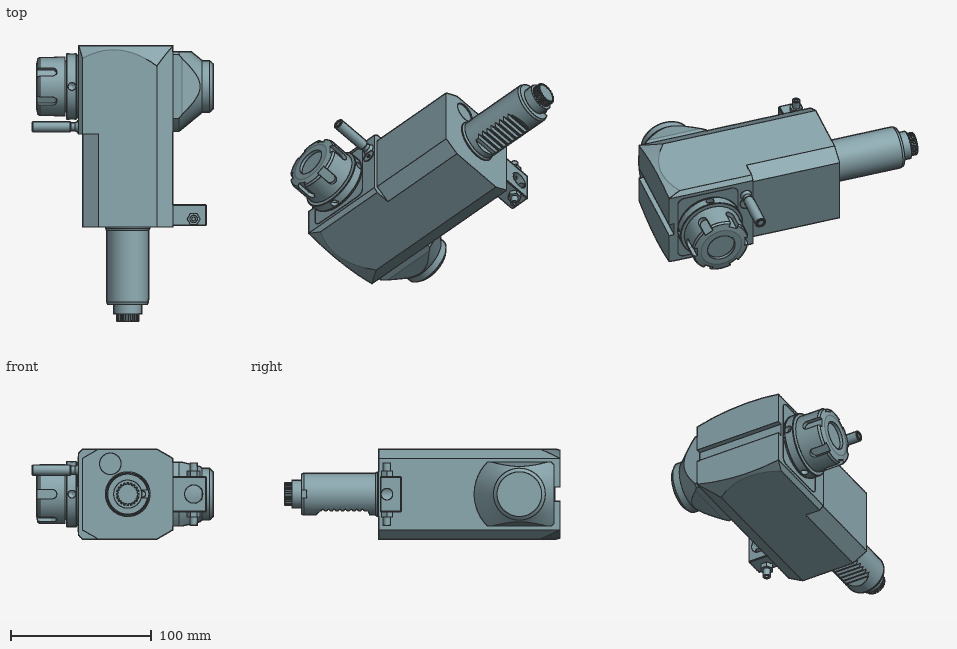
import cadquery as cq
import math


CUT_CLEARANCE = 2.0

HALF = 64.0 / 2
LENGTH = 129.0
EDGE_WIDTH = 11.4
EDGE_HEIGHT = EDGE_WIDTH * math.tan(math.radians(30))
PAD_START = 66.0
PAD_RISE = 3.0
PAD_FACE = -HALF - PAD_RISE
SPINDLE_Y = 100.0
KEYWAY_WIDTH = 10.0
KEYWAY_DEPTH = 3.7

CROWN_ANGLE = 15.0
CROWN_RADIUS = 158.8
CROWN_X = -10.0
CROWN_TOP = HALF - 0.8

COVER_X = -12.3
COVER_Z = 21.5
COVER_RADIUS = 7.6
COVER_DEPTH = 1.0

COLLAR_RADIUS = 15.9
COLLAR_LENGTH = 0.8
COLLAR_TAPER_END = 2.4
SHANK_RADIUS = 30.0 / 2
SHANK_END = 54.9
SHANK_CHAMFER_LENGTH = 1.8
SHANK_CHAMFER_DROP = 0.8
NECK_RADIUS = 10.0
NECK_END = 61.5
SPLINE_TIP_RADIUS = 16.3 / 2
SPLINE_ROOT_RADIUS = 6.9
SPLINE_TEETH = 20
SPLINE_TOOTH_WIDTH = 1.2
SPLINE_CHAMFER = 0.5
OVERALL_LENGTH = 196.0
SHANK_TIP = OVERALL_LENGTH - LENGTH

FLAT_DEPTH = 12.2
FLAT_START = 7.5
FLAT_END = 42.0
FLAT_START_FLARE = 1.2
FLAT_END_FLARE = 3.0
GROOVE_FIRST = 11.5
GROOVE_COUNT = 8
GROOVE_SPAN = 28.0
GROOVE_PITCH = GROOVE_SPAN / (GROOVE_COUNT - 1)
GROOVE_HALF_WIDTH = 1.5
GROOVE_HEIGHT = 1.5

NOTCH_WIDTH = 5.7
NOTCH_LENGTH = 3.7
NOTCH_HOLE_X = 10.5
NOTCH_HOLE_RADIUS = 2.2
NOTCH_HOLE_DEPTH = 3.0

PLATE_Y = 45.0
PLATE_Z = 53.0
PLATE_CORNER = 4.9
PLATE_RISE = 0.2
RING_RADIUS = 23.3
RING_BACK = -36.5
RING_FRONT = -43.5
RING_CHAMFER = 0.4
RING_NECK_RADIUS = 22.3
RING_HOLE_X = -39.5
RING_HOLE_RADIUS = 2.7
RING_HOLE_DEPTH = 4.0
RING_HOLE_POINT = 1.5
RING_HOLE_COUNT = 4
GROOVE_CORE_RADIUS = 18.0
NUT_RADIUS = 21.0
NUT_BACK = -44.5
NUT_RIM = -62.1
NUT_SHOULDER = -63.9
NUT_SHOULDER_RADIUS = 20.2
NUT_FACE = -64.9
NUT_FACE_RADIUS = 15.0
NUT_BORE_RADIUS = 10.4
NUT_BORE_DEPTH = 2.4
SLOT_COUNT = 6
SLOT_WIDTH = 6.7
SLOT_FLOOR = 17.8
SLOT_END = -50.4

PIPE_Y = 71.3
PIPE_Z = 17.0
PIPE_RADIUS = 3.7
PIPE_FRONT = -67.8
PIPE_BACK = -40.4
PIPE_CHAMFER = 0.5
PIPE_NECK_RADIUS = 3.0
PIPE_NECK_END = -37.5
PIPE_FLARE_RADIUS = 4.1
PIPE_BORE_RADIUS = 2.4
PIPE_BORE_DEPTH = 0.5
PLUG_Z = 9.8
PLUG_RADIUS = 4.5
PLUG_RISE = 0.5
PLUG_HOLE_RADIUS = 1.2
PLUG_HOLE_DEPTH = 0.5

CAP_RADIUS = 32.1
CAP_CONE_START = 36.3
CAP_CONE_END = 53.0
CAP_NOSE_RADIUS = 18.5
CAP_NOSE_CHAMFER = 2.5
CAP_END = 60.8
CAP_SIDE_FLAT = 24.7
CAP_HEIGHT_FLAT = 22.7
CAP_BEND = 38.6
CAP_TILT = 13.5

BLOCK_END = 55.9
BLOCK_START_Y = 1.2
BLOCK_END_Y = 16.0
BLOCK_HALF_HEIGHT = 12.5
BLOCK_CHAMFER = 0.5
BLOCK_BORE_X = 46.8
BLOCK_BORE_RADIUS = 6.5
BLOCK_OUTLET_RADIUS = 4.1
BLOCK_PASSAGE_RADIUS = 1.8
BLOCK_PASSAGE_DEPTH = 1.5
NIPPLE_Y = 5.9
NIPPLE_RADIUS = 5.3 / 2
NIPPLE_TOP = 22.1
NIPPLE_SOCKET_RADIUS = 1.4
NIPPLE_SOCKET_DEPTH = 2.0
NIPPLE_HEX_ACROSS = 9.2
NIPPLE_HEX_TOP = 16.3


def cylinder(radius, start, length, direction):
    """Cylinder running from a start point along a unit direction for a given length."""
    return cq.Workplane(cq.Solid.makeCylinder(radius, length, cq.Vector(*start), cq.Vector(*direction)))


def turned_along_x(profile, y, z):
    """Solid of revolution from (x, radius) points about an axis parallel to X."""
    axis_start = (profile[0][0], 0)
    axis_end = (profile[-1][0], 0)
    outline = cq.Workplane("XY").polyline([axis_start] + profile + [axis_end]).close()
    return outline.revolve(360, (0, 0, 0), (1, 0, 0)).translate((0, y, z))


def prism_along_y(points, start, end):
    """Straight prism with an (x, z) outline between two Y positions."""
    return cq.Workplane("XZ", origin=(0, start, 0)).polyline(points).close().extrude(start - end)


def mirrored(points):
    """Close an upper outline with its reflection below Z = 0."""
    return points + [(x, -z) for x, z in reversed(points)]


def crown_cutter():
    """Block with an arched underside, tilted so that the end of the housing slopes down to the arch."""
    angle = math.radians(CROWN_ANGLE)
    lead = 9.8
    span = 78.4
    sag = CROWN_RADIUS - math.sqrt(CROWN_RADIUS ** 2 - span ** 2)
    block_top = 15.7
    direction = cq.Vector(0, -math.cos(angle), math.sin(angle))
    peak = cq.Vector(CROWN_X, LENGTH, CROWN_TOP)
    plane = cq.Plane(origin=peak - direction * lead, xDir=(1, 0, 0), normal=direction)
    return (
        cq.Workplane(plane)
        .moveTo(-span, -sag)
        .threePointArc((0, 0), (span, -sag))
        .lineTo(span, block_top)
        .lineTo(-span, block_top)
        .close()
        .extrude(LENGTH / 2)
    )


def make_housing():
    side = HALF - EDGE_HEIGHT
    inner = HALF - EDGE_WIDTH
    rear_body = prism_along_y(
        mirrored([(-HALF, side), (-inner, HALF), (inner, HALF), (HALF, side)]), 0, LENGTH
    )
    pad_body = prism_along_y(
        mirrored([(PAD_FACE, HALF - PAD_RISE), (-HALF, HALF), (inner, HALF), (HALF, side)]),
        PAD_START, LENGTH,
    )
    cutter = crown_cutter()
    keyway = cq.Workplane("XY").box(4 * HALF, 2 * KEYWAY_DEPTH, KEYWAY_WIDTH).translate((0, LENGTH, 0))
    cover = cylinder(COVER_RADIUS, (COVER_X, 0, COVER_Z), COVER_DEPTH, (0, 1, 0))
    housing = rear_body.union(pad_body)
    return housing.cut(cutter).cut(cutter.mirror("XY")).cut(keyway).cut(cover)


def make_serration():
    """Material removed below the shank: a flat with V grooves across it."""
    below = SHANK_RADIUS + CUT_CLEARANCE
    rise = below - FLAT_DEPTH
    flare_scale = rise / (SHANK_RADIUS - FLAT_DEPTH)
    points = [(-FLAT_START + FLAT_START_FLARE * flare_scale, -below), (-FLAT_START, -FLAT_DEPTH)]
    for index in range(GROOVE_COUNT):
        valley = GROOVE_FIRST + index * GROOVE_PITCH
        points.append((-valley + GROOVE_HALF_WIDTH, -FLAT_DEPTH))
        points.append((-valley, GROOVE_HEIGHT - FLAT_DEPTH))
        points.append((-valley - GROOVE_HALF_WIDTH, -FLAT_DEPTH))
    points += [(-FLAT_END, -FLAT_DEPTH), (-FLAT_END - FLAT_END_FLARE * flare_scale, -below)]
    return cq.Workplane("YZ").polyline(points).close().extrude(2 * SHANK_RADIUS, both=True)


def make_spline():
    """Toothed shaft end: a root cylinder with straight teeth, chamfered at the tip."""
    length = SHANK_TIP - NECK_END
    blank = cylinder(SPLINE_TIP_RADIUS, (0, -NECK_END, 0), length, (0, -1, 0))
    blank = blank.faces("<Y").chamfer(SPLINE_CHAMFER)
    teeth = cylinder(SPLINE_ROOT_RADIUS, (0, -NECK_END, 0), length, (0, -1, 0))
    bar = cq.Workplane("XY").box(2 * SPLINE_TIP_RADIUS, length, SPLINE_TOOTH_WIDTH)
    bar = bar.translate((0, -NECK_END - length / 2, 0))
    for index in range(SPLINE_TEETH // 2):
        teeth = teeth.union(bar.rotate((0, 0, 0), (0, 1, 0), index * 360 / SPLINE_TEETH))
    return teeth.intersect(blank)


def make_shank():
    end_radius = SHANK_RADIUS - SHANK_CHAMFER_DROP
    profile = [
        (0, 0),
        (COLLAR_RADIUS, 0),
        (COLLAR_RADIUS, -COLLAR_LENGTH),
        (SHANK_RADIUS, -COLLAR_TAPER_END),
        (SHANK_RADIUS, -SHANK_END + SHANK_CHAMFER_LENGTH),
        (end_radius, -SHANK_END),
        (NECK_RADIUS, -SHANK_END),
        (NECK_RADIUS, -NECK_END),
        (0, -NECK_END),
    ]
    shank = cq.Workplane("XY").polyline(profile).close().revolve(360, (0, 0, 0), (0, 1, 0))
    notch = cq.Workplane("XY").box(
        SHANK_RADIUS, NOTCH_LENGTH, NOTCH_WIDTH, centered=(False, False, True)
    ).translate((NECK_RADIUS, -SHANK_END, 0))
    notch_floor = NOTCH_LENGTH - SHANK_END
    notch_hole = cylinder(
        NOTCH_HOLE_RADIUS, (NOTCH_HOLE_X, notch_floor, 0), NOTCH_HOLE_DEPTH, (0, 1, 0)
    )
    return shank.cut(make_serration()).cut(notch).cut(notch_hole).union(make_spline())


def make_spindle():
    plate = (
        cq.Workplane("YZ", origin=(PAD_FACE, SPINDLE_Y, 0))
        .rect(PLATE_Y, PLATE_Z)
        .extrude(-PLATE_RISE)
        .edges("|X")
        .fillet(PLATE_CORNER)
    )
    profile = [
        (PAD_FACE, RING_NECK_RADIUS),
        (RING_BACK, RING_NECK_RADIUS),
        (RING_BACK, RING_RADIUS - RING_CHAMFER),
        (RING_BACK - RING_CHAMFER, RING_RADIUS),
        (RING_FRONT + RING_CHAMFER, RING_RADIUS),
        (RING_FRONT, RING_RADIUS - RING_CHAMFER),
        (RING_FRONT, GROOVE_CORE_RADIUS),
        (NUT_BACK, GROOVE_CORE_RADIUS),
        (NUT_BACK, NUT_RADIUS),
        (NUT_RIM, NUT_RADIUS),
        (NUT_SHOULDER, NUT_SHOULDER_RADIUS),
        (NUT_FACE, NUT_FACE_RADIUS),
    ]
    spindle = turned_along_x(profile, SPINDLE_Y, 0)
    spindle = spindle.cut(cylinder(NUT_BORE_RADIUS, (NUT_FACE, SPINDLE_Y, 0), NUT_BORE_DEPTH, (1, 0, 0)))

    axis_start = (0, SPINDLE_Y, 0)
    axis_end = (1, SPINDLE_Y, 0)
    wrench_hole = cylinder(
        RING_HOLE_RADIUS, (RING_HOLE_X, SPINDLE_Y, RING_RADIUS - RING_HOLE_DEPTH),
        2 * RING_HOLE_DEPTH, (0, 0, 1),
    )
    drill_point = cq.Workplane(cq.Solid.makeCone(
        0, RING_HOLE_RADIUS, RING_HOLE_POINT,
        cq.Vector(RING_HOLE_X, SPINDLE_Y, RING_RADIUS - RING_HOLE_DEPTH - RING_HOLE_POINT),
    ))
    wrench_hole = wrench_hole.union(drill_point)
    for index in range(RING_HOLE_COUNT):
        spindle = spindle.cut(wrench_hole.rotate(axis_start, axis_end, index * 360 / RING_HOLE_COUNT))

    slot_center = SLOT_END - SLOT_WIDTH / 2
    slot_length = 2 * (slot_center - NUT_FACE) + SLOT_WIDTH
    slot = (
        cq.Workplane("XZ", origin=(NUT_FACE, SPINDLE_Y + SLOT_FLOOR, 0))
        .slot2D(slot_length, SLOT_WIDTH)
        .extrude(SLOT_FLOOR - NUT_RADIUS - CUT_CLEARANCE)
    )
    for index in range(SLOT_COUNT):
        spindle = spindle.cut(slot.rotate(axis_start, axis_end, index * 360 / SLOT_COUNT))
    return plate.union(spindle)


def make_pipe_and_plug():
    profile = [
        (PAD_FACE, PIPE_FLARE_RADIUS),
        (PIPE_NECK_END, PIPE_NECK_RADIUS),
        (PIPE_BACK, PIPE_NECK_RADIUS),
        (PIPE_BACK, PIPE_RADIUS - PIPE_CHAMFER),
        (PIPE_BACK - PIPE_CHAMFER, PIPE_RADIUS),
        (PIPE_FRONT + PIPE_CHAMFER, PIPE_RADIUS),
        (PIPE_FRONT, PIPE_RADIUS - PIPE_CHAMFER),
    ]
    pipe = turned_along_x(profile, PIPE_Y, PIPE_Z)
    pipe = pipe.cut(cylinder(PIPE_BORE_RADIUS, (PIPE_FRONT, PIPE_Y, PIPE_Z), PIPE_BORE_DEPTH, (1, 0, 0)))
    plug_front = (PAD_FACE - PLUG_RISE, PIPE_Y, PLUG_Z)
    plug = cylinder(PLUG_RADIUS, plug_front, PLUG_RISE, (1, 0, 0))
    plug_hole = cylinder(PLUG_HOLE_RADIUS, plug_front, PLUG_HOLE_DEPTH, (1, 0, 0))
    return pipe.union(plug), plug_hole


def make_cap():
    profile = [
        (HALF, CAP_RADIUS),
        (CAP_CONE_START, CAP_RADIUS),
        (CAP_CONE_END, CAP_NOSE_RADIUS),
        (CAP_END - CAP_NOSE_CHAMFER, CAP_NOSE_RADIUS),
        (CAP_END, CAP_NOSE_RADIUS - CAP_NOSE_CHAMFER),
    ]
    cap = turned_along_x(profile, SPINDLE_Y, 0)
    tilt_drop = (CAP_CONE_END - CAP_BEND) * math.tan(math.radians(CAP_TILT))
    envelope = prism_along_y(
        mirrored([
            (HALF, CAP_HEIGHT_FLAT),
            (CAP_BEND, CAP_HEIGHT_FLAT),
            (CAP_CONE_END, CAP_HEIGHT_FLAT - tilt_drop),
            (CAP_END, CAP_HEIGHT_FLAT - tilt_drop),
        ]),
        SPINDLE_Y - CAP_RADIUS, SPINDLE_Y + CAP_SIDE_FLAT,
    )
    return cap.intersect(envelope)


def make_coolant_block():
    block = cq.Workplane("XY").box(
        BLOCK_END - HALF, BLOCK_END_Y - BLOCK_START_Y, 2 * BLOCK_HALF_HEIGHT, centered=(False, False, True)
    ).translate((HALF, BLOCK_START_Y, 0))
    block = block.faces(">X or >Z or <Z").edges("not <X").chamfer(BLOCK_CHAMFER)
    bore = cylinder(
        BLOCK_BORE_RADIUS, (BLOCK_BORE_X, BLOCK_START_Y, 0), BLOCK_END_Y - BLOCK_START_Y, (0, 1, 0)
    )
    nipple_base = cq.Workplane("XY", origin=(BLOCK_BORE_X, NIPPLE_Y, 0))
    hexes = nipple_base.polygon(6, NIPPLE_HEX_ACROSS).extrude(NIPPLE_HEX_TOP, both=True)
    nipples = nipple_base.circle(NIPPLE_RADIUS).extrude(NIPPLE_TOP, both=True)
    passage_reach = BLOCK_BORE_RADIUS + BLOCK_PASSAGE_DEPTH
    passage = nipple_base.circle(BLOCK_PASSAGE_RADIUS).extrude(passage_reach, both=True)
    outlet = cylinder(
        BLOCK_OUTLET_RADIUS, (BLOCK_BORE_X, NIPPLE_Y, 0), BLOCK_END - BLOCK_BORE_X, (1, 0, 0)
    )
    block = block.union(hexes).union(nipples).cut(bore).cut(passage).cut(outlet)
    for side in (1, -1):
        tip = (BLOCK_BORE_X, NIPPLE_Y, side * NIPPLE_TOP)
        block = block.cut(cylinder(NIPPLE_SOCKET_RADIUS, tip, NIPPLE_SOCKET_DEPTH, (0, 0, -side)))
    return block


pipe_and_plug, plug_socket = make_pipe_and_plug()
result = (
    make_housing()
    .union(make_shank())
    .union(make_spindle())
    .union(make_cap())
    .union(make_coolant_block())
    .union(pipe_and_plug)
    .cut(plug_socket)
)